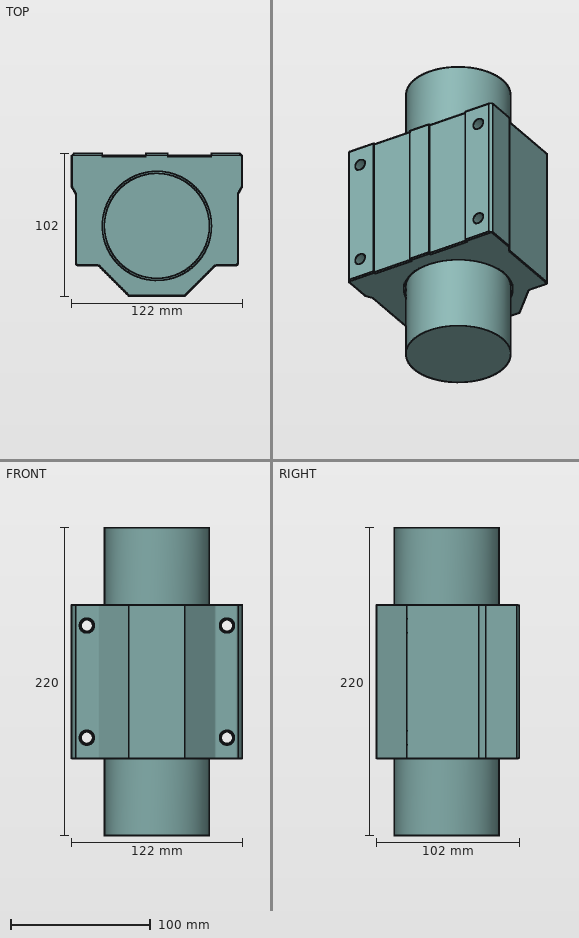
import cadquery as cq
import math

SHAFT_LENGTH = 220.0
SHAFT_DIAMETER = 75.0
BLOCK_LENGTH = SHAFT_LENGTH / 2
BLOCK_WIDTH = 122.0
BLOCK_DEPTH = 102.0

BACK_Y = 52.0
FRONT_Y = BACK_Y - BLOCK_DEPTH
SHOULDER_Y = -28.4
FLANGE_FRONT_Y = 28.0
FLANGE_TAPER_ANGLE = 60.0
HALF_WIDTH = BLOCK_WIDTH / 2
BODY_HALF_WIDTH = 58.0
NOSE_HALF_WIDTH = 20.0
NOSE_ROOT_X = NOSE_HALF_WIDTH + SHOULDER_Y - FRONT_Y
CORNER_SIZE = 2.0
END_CHAMFER = 0.5

GROOVE_INNER_X = 8.0
GROOVE_OUTER_X = 39.0
GROOVE_DEPTH = 1.3

BEVEL_DEPTH = 1.3
BEVEL_LENGTH = 0.7

RING_DIAMETER = 78.0
RING_DEPTH = 2.2

HOLE_DIAMETER = 8.4
HOLE_MOUTH_DIAMETER = 10.5
HOLE_SPACING_X = 100.0
HOLE_SPACING_Z = 80.0


def mirrored_pair(shape):
    """The shape together with its mirror image across the YZ plane."""
    return shape.union(shape.mirror("YZ"))


def make_block():
    """Constant profile with chamfered back corners, rounded front corners and nose roots."""
    taper_length = (HALF_WIDTH - BODY_HALF_WIDTH) * math.tan(math.radians(FLANGE_TAPER_ANGLE))
    right_side = [
        (NOSE_HALF_WIDTH, FRONT_Y),
        (NOSE_ROOT_X, SHOULDER_Y),
        (BODY_HALF_WIDTH, SHOULDER_Y),
        (BODY_HALF_WIDTH, FLANGE_FRONT_Y - taper_length),
        (HALF_WIDTH, FLANGE_FRONT_Y),
        (HALF_WIDTH, BACK_Y - CORNER_SIZE),
        (HALF_WIDTH - CORNER_SIZE, BACK_Y),
    ]
    left_side = [(-x, y) for x, y in reversed(right_side)]
    block = (
        cq.Workplane("XY")
        .polyline(right_side + left_side)
        .close()
        .extrude(BLOCK_LENGTH / 2, both=True)
    )
    for corner_x in (-BODY_HALF_WIDTH, -NOSE_ROOT_X, NOSE_ROOT_X, BODY_HALF_WIDTH):
        corner = cq.selectors.NearestToPointSelector((corner_x, SHOULDER_Y, 0))
        block = block.edges("|Z").edges(corner).fillet(CORNER_SIZE)
    return block


def space_behind(face_y, min_x, max_x):
    """Space on the +Y side of a flat face at face_y whose two ends are bevelled."""
    half_length = BLOCK_LENGTH / 2
    bevel_y = face_y - BEVEL_DEPTH
    flat_half_length = half_length - BEVEL_LENGTH
    outer_y = BACK_Y + GROOVE_DEPTH
    return (
        cq.Workplane("YZ", origin=(min_x, 0, 0))
        .polyline([
            (outer_y, -half_length),
            (bevel_y, -half_length),
            (face_y, -flat_half_length),
            (face_y, flat_half_length),
            (bevel_y, half_length),
            (outer_y, half_length),
        ])
        .close()
        .extrude(max_x - min_x)
    )


def make_grooves():
    """Two full-length grooves in the mounting face, one on each side of the middle pad."""
    return mirrored_pair(space_behind(BACK_Y - GROOVE_DEPTH, GROOVE_INNER_X, GROOVE_OUTER_X))


def make_rings():
    """Discs that sink the clearance ring into both end faces."""
    ring = (
        cq.Workplane("XY", origin=(0, 0, BLOCK_LENGTH / 2))
        .circle(RING_DIAMETER / 2)
        .extrude(-RING_DEPTH)
    )
    return ring.union(ring.mirror("XY"))


def make_holes():
    """Four countersunk holes running from the front shoulders through the mounting face."""
    hole_radius = HOLE_DIAMETER / 2
    mouth_radius = HOLE_MOUTH_DIAMETER / 2
    countersink_end_y = SHOULDER_Y + mouth_radius - hole_radius
    hole = (
        cq.Workplane("XY")
        .polyline([
            (0, SHOULDER_Y),
            (mouth_radius, SHOULDER_Y),
            (hole_radius, countersink_end_y),
            (hole_radius, BACK_Y),
            (0, BACK_Y),
        ])
        .close()
        .revolve(360, (0, 0, 0), (0, 1, 0))
        .translate((HOLE_SPACING_X / 2, 0, HOLE_SPACING_Z / 2))
    )
    upper_holes = mirrored_pair(hole)
    return upper_holes.union(upper_holes.mirror("XY"))


block = make_block().faces("|Z").chamfer(END_CHAMFER)
block = block.cut(space_behind(BACK_Y, -HALF_WIDTH, HALF_WIDTH))
block = block.cut(make_grooves()).cut(make_rings()).cut(make_holes())
shaft = cq.Workplane("XY").circle(SHAFT_DIAMETER / 2).extrude(SHAFT_LENGTH / 2, both=True)
result = block.union(shaft)